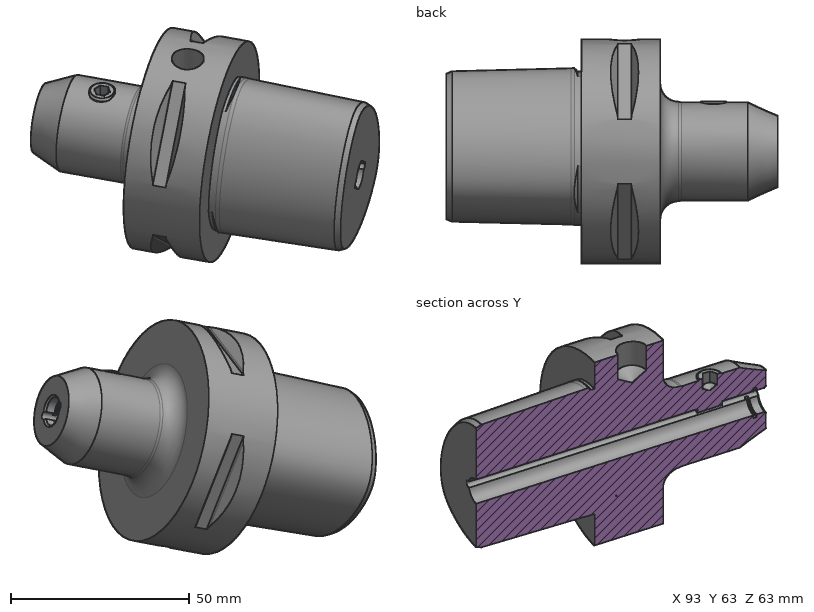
import cadquery as cq
import math

nose_cone_end = 8.5
collar_start = 27.2
flange_start = 32.9
flange_end = 55.1
shank_straight_end = 57.0
taper_start = 58.1
shank_end_rounding_start = 91.3
total_length = 93.0

nose_tip_diameter = 20.0
nose_diameter = 27.6
collar_diameter = 28.0
root_fillet_radius = 5.0
flange_diameter = 63.0

shank_mean_radius = 22.0
lobe_height = 1.4
lobe_outline_points = 36
taper_start_inset = 0.1
taper_per_length = 1 / 40
end_rounding_inset = 0.7
lobe_relief_radius = 22.4
lobe_relief_flat_end = 56.1

entry_diameter = 9.2
relief_diameter = 10.0
relief_start = 3.2
relief_end = 4.1
through_diameter = 8.1
side_groove_reach_diameter = 10.8
side_groove_diameter = 2.2

screw_x = 18.0
screw_diameter = 8.0
screw_top_z = 14.1
screw_tip_z = 2.8
screw_chamfer = 0.65
socket_across_flats = 4.0
socket_depth = 3.7
drill_point_angle = 118.0

flange_detail_x = 43.0
index_hole_diameter = 9.0
index_hole_depth = 8.4
gripper_floor_distance = 27.7
gripper_vee_distance = 28.4
gripper_floor_width = 3.7
gripper_wall_top_width = 4.1
gripper_mouth_width = 7.8


def drill(diameter, depth, x, top_z):
    """Vertical drilled hole, open upwards, with a conical bottom."""
    radius = diameter / 2
    point = radius / math.tan(math.radians(drill_point_angle / 2))
    shoulder_z = top_z - depth
    profile = [(0, shoulder_z - point), (radius, shoulder_z), (radius, top_z), (0, top_z)]
    return cq.Workplane("XZ").polyline(profile).close().revolve(360, (0, 0), (0, 1)).translate((x, 0, 0))


def turned_body():
    """Nose, collar, root fillet and flange."""
    collar_end = flange_start - root_fillet_radius
    fillet_outer = collar_diameter / 2 + root_fillet_radius
    diagonal = root_fillet_radius * math.sqrt(0.5)
    return (
        cq.Workplane("XY")
        .lineTo(0, nose_tip_diameter / 2)
        .lineTo(nose_cone_end, nose_diameter / 2)
        .lineTo(collar_start, nose_diameter / 2)
        .lineTo(collar_end, collar_diameter / 2)
        .threePointArc((collar_end + diagonal, fillet_outer - diagonal), (flange_start, fillet_outer))
        .lineTo(flange_start, flange_diameter / 2)
        .lineTo(flange_end, flange_diameter / 2)
        .lineTo(flange_end, 0)
        .close()
        .revolve(360, (0, 0), (1, 0))
    )


def lobed_wire(x, inset):
    """Three-lobed outline at station x, one lobe pointing up, shrunk evenly by inset."""
    radius = shank_mean_radius - inset

    def point(angle):
        z = radius * math.cos(angle) + lobe_height * (2 * math.cos(2 * angle) - math.cos(4 * angle))
        y = lobe_height * (2 * math.sin(2 * angle) + math.sin(4 * angle)) - radius * math.sin(angle)
        return cq.Vector(x, y, z)

    points = [point(2 * math.pi * i / lobe_outline_points) for i in range(lobe_outline_points)]
    return cq.Wire.assembleEdges([cq.Edge.makeSpline(points, periodic=True)])


def shank():
    taper_inset = taper_start_inset + (shank_end_rounding_start - taper_start) * taper_per_length
    sections = [
        lobed_wire(flange_end, 0),
        lobed_wire(shank_straight_end, 0),
        lobed_wire(taper_start, taper_start_inset),
        lobed_wire(shank_end_rounding_start, taper_inset),
        lobed_wire(total_length, taper_inset + end_rounding_inset),
    ]
    return cq.Workplane(cq.Solid.makeLoft(sections, True))


def lobe_relief():
    """Ring beside the flange that trims only the tips of the shank lobes."""
    outer_radius = lobe_relief_radius + shank_straight_end - lobe_relief_flat_end
    clear_radius = flange_diameter / 2
    return (
        cq.Workplane("XY")
        .moveTo(flange_end, lobe_relief_radius)
        .lineTo(lobe_relief_flat_end, lobe_relief_radius)
        .lineTo(shank_straight_end, outer_radius)
        .lineTo(shank_straight_end, clear_radius)
        .lineTo(flange_end, clear_radius)
        .close()
        .revolve(360, (0, 0), (1, 0))
    )


def cylinder_along_x(start, end, diameter, y=0):
    return cq.Workplane("YZ", origin=(start, 0, 0)).center(y, 0).circle(diameter / 2).extrude(end - start)


def tool_bore():
    bore = cylinder_along_x(0, total_length, through_diameter)
    entry_chamfer = (entry_diameter - through_diameter) / 2
    entry = (
        cq.Workplane("YZ")
        .circle(entry_diameter / 2)
        .workplane(offset=entry_chamfer)
        .circle(through_diameter / 2)
        .loft()
    )
    bore = bore.union(entry)
    bore = bore.union(cylinder_along_x(relief_start, relief_end, relief_diameter))
    groove_y = (side_groove_reach_diameter - side_groove_diameter) / 2
    for y in (-groove_y, groove_y):
        bore = bore.union(cylinder_along_x(0, total_length, side_groove_diameter, y))
    return bore


def clamping_screw():
    screw = (
        cq.Workplane("XY", origin=(screw_x, 0, screw_tip_z))
        .circle(screw_diameter / 2)
        .extrude(screw_top_z - screw_tip_z)
        .faces(">Z")
        .chamfer(screw_chamfer)
    )
    socket_across_corners = socket_across_flats / math.cos(math.pi / 6)
    socket = (
        cq.Workplane("XY", origin=(screw_x, 0, screw_top_z))
        .polygon(6, socket_across_corners)
        .extrude(-socket_depth)
    )
    socket_point = drill(socket_across_flats, socket_depth, screw_x, screw_top_z)
    return screw, socket.union(socket_point)


def gripper_slot(angle):
    """Chordal slot across the flange: steep walls at the floor, flaring outwards."""
    half_floor = gripper_floor_width / 2
    half_wall_top = gripper_wall_top_width / 2
    half_mouth = gripper_mouth_width / 2
    rim = flange_diameter / 2
    profile = [
        (-half_floor, gripper_floor_distance),
        (half_floor, gripper_floor_distance),
        (half_wall_top, gripper_vee_distance),
        (half_mouth, rim),
        (-half_mouth, rim),
        (-half_wall_top, gripper_vee_distance),
    ]
    slot = cq.Workplane("XZ", origin=(flange_detail_x, 0, 0)).polyline(profile).close()
    return slot.extrude(rim, both=True).rotate((0, 0, 0), (1, 0, 0), angle)


result = turned_body().union(shank().cut(lobe_relief()))
result = result.cut(tool_bore())
screw, socket = clamping_screw()
result = result.union(screw).cut(socket)
result = result.cut(drill(index_hole_diameter, index_hole_depth, flange_detail_x, flange_diameter / 2))
for quarter in range(4):
    result = result.cut(gripper_slot(45 + 90 * quarter))